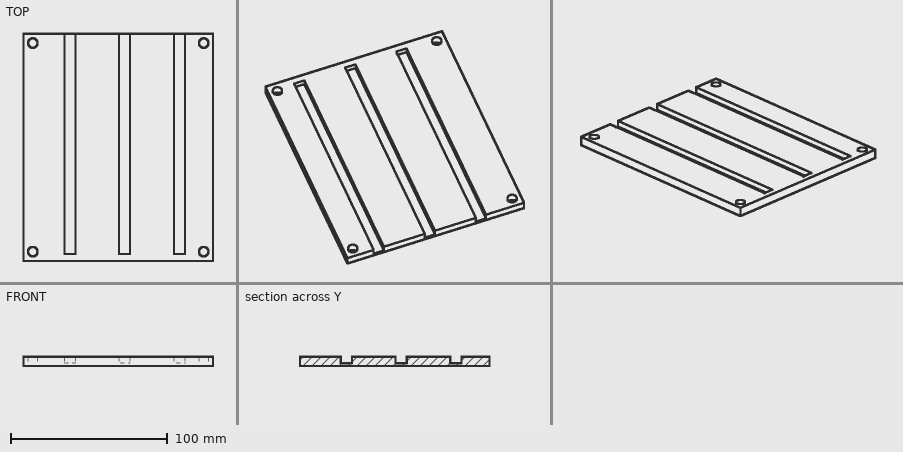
import cadquery as cq

width = 121.0
length = 145.0
thickness = 6.0

hole_diameter = 6.0
hole_inset = 6.0

groove_count = 3
groove_width = 7.0
groove_depth = 4.0
groove_pitch = 35.0
first_groove_offset = 26.1
groove_end_margin = 4.5


def make_plate():
    return cq.Workplane("XY").box(width, length, thickness, centered=(True, True, False))


def drill_corner_holes(plate):
    return (
        plate.faces(">Z").workplane(origin=(0, 0, thickness))
        .rect(width - 2 * hole_inset, length - 2 * hole_inset, forConstruction=True)
        .vertices()
        .hole(hole_diameter)
    )


def make_groove(index):
    start_x = -width / 2 + first_groove_offset + index * groove_pitch
    return (
        cq.Workplane("XY")
        .box(groove_width, length - groove_end_margin, groove_depth, centered=False)
        .translate((start_x, -length / 2 + groove_end_margin, thickness - groove_depth))
    )


result = drill_corner_holes(make_plate())
for groove_index in range(groove_count):
    result = result.cut(make_groove(groove_index))